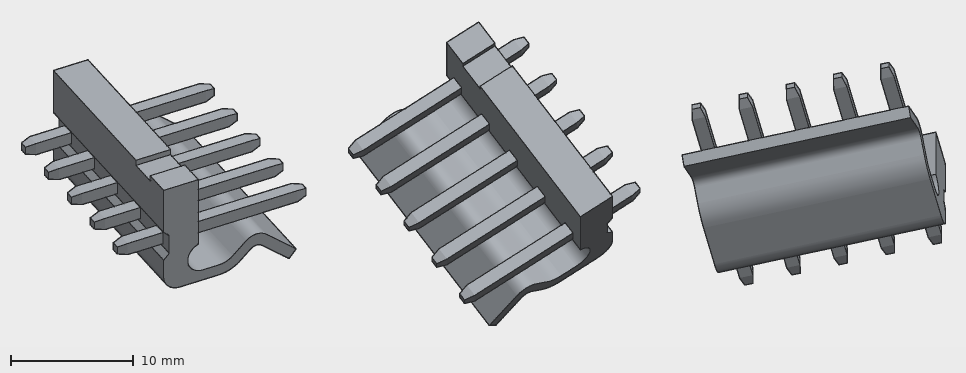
import cadquery as cq
import math

length = 19.04
wall_thickness = 3.2
wall_top = 10.19

pin_count = 5
pin_pitch = 3.96
pin_size = 1.12
pin_tip_size = 0.7
pin_tip_length = 0.88
pin_length = 17.45
pin_front_reach = 3.62
pin_height = 4.59

groove_depth = 0.51
groove_floor_height = 1.75

notch_start = 4.75
notch_width = 2.45
notch_depth = 0.51

strip_thickness = 1.0
strip_angle = math.radians(41)
hollow_radius = 1.39
hollow_center_y = 3.62
bend_y = 5.83
crest_y = 8.57
tail_end_y = 12.25
base_corner_radius = 1.5
bend_inner_radius = 1.96
bend_outer_radius = bend_inner_radius + strip_thickness
crest_outer_radius = 1.4
crest_inner_radius = 0.78


def extrude_along_row(sketch):
    """Extrude a YZ outline over the full length, centred on X = 0."""
    return sketch.extrude(length / 2, both=True)


def make_housing():
    slope = math.tan(strip_angle)

    upper_bend = (bend_y, strip_thickness)
    lower_bend = (bend_y + strip_thickness * math.tan(strip_angle / 2), 0)
    upper_crest = (crest_y, strip_thickness + (crest_y - bend_y) * slope)
    lower_crest = (crest_y, upper_crest[1] - strip_thickness / math.cos(strip_angle))
    upper_tail = (tail_end_y, upper_crest[1] - (tail_end_y - crest_y) * slope)
    lower_tail = (
        upper_tail[0] - strip_thickness * math.sin(strip_angle),
        upper_tail[1] - strip_thickness * math.cos(strip_angle),
    )

    hollow_center_z = strip_thickness + hollow_radius
    hollow_offset = hollow_center_y - wall_thickness
    hollow_exit_z = hollow_center_z + math.sqrt(hollow_radius**2 - hollow_offset**2)

    housing = extrude_along_row(
        cq.Workplane("YZ")
        .moveTo(0, 0)
        .lineTo(0, wall_top)
        .lineTo(wall_thickness, wall_top)
        .lineTo(wall_thickness, hollow_exit_z)
        .threePointArc(
            (hollow_center_y - hollow_radius, hollow_center_z),
            (hollow_center_y, strip_thickness),
        )
        .lineTo(*upper_bend)
        .lineTo(*upper_crest)
        .lineTo(*upper_tail)
        .lineTo(*lower_tail)
        .lineTo(*lower_crest)
        .lineTo(*lower_bend)
        .close()
    )

    rounded_corners = [
        ((0, 0), base_corner_radius),
        (upper_bend, bend_inner_radius),
        (lower_bend, bend_outer_radius),
        (upper_crest, crest_outer_radius),
        (lower_crest, crest_inner_radius),
    ]
    for (y, z), radius in rounded_corners:
        corner_edge = cq.selectors.NearestToPointSelector((0, y, z))
        housing = housing.edges("|X").edges(corner_edge).fillet(radius)
    return housing


def make_groove():
    half_floor = groove_floor_height / 2
    half_mouth = half_floor + groove_depth
    return extrude_along_row(
        cq.Workplane("YZ").polyline([
            (0, pin_height - half_mouth),
            (groove_depth, pin_height - half_floor),
            (groove_depth, pin_height + half_floor),
            (0, pin_height + half_mouth),
        ]).close()
    )


def make_notch():
    return cq.Workplane("XY").box(
        notch_width, wall_thickness, notch_depth, centered=False
    ).translate((notch_start, 0, wall_top - notch_depth))


def make_pin():
    """A pin along Y, centred on X = 0 and Z = 0, with a tapered tip at each end."""
    shank_length = pin_length - 2 * pin_tip_length
    pin = cq.Workplane("XZ").rect(pin_size, pin_size).extrude(shank_length / 2, both=True)
    for end in ("<Y", ">Y"):
        pin = (
            pin.faces(end).workplane()
            .rect(pin_size, pin_size)
            .workplane(offset=pin_tip_length)
            .rect(pin_tip_size, pin_tip_size)
            .loft(ruled=True)
        )
    return pin


result = make_housing().cut(make_groove()).cut(make_notch())

pin_center_y = pin_length / 2 - pin_front_reach
for index in range(pin_count):
    pin_x = (index - (pin_count - 1) / 2) * pin_pitch
    result = result.union(make_pin().translate((pin_x, pin_center_y, pin_height)))